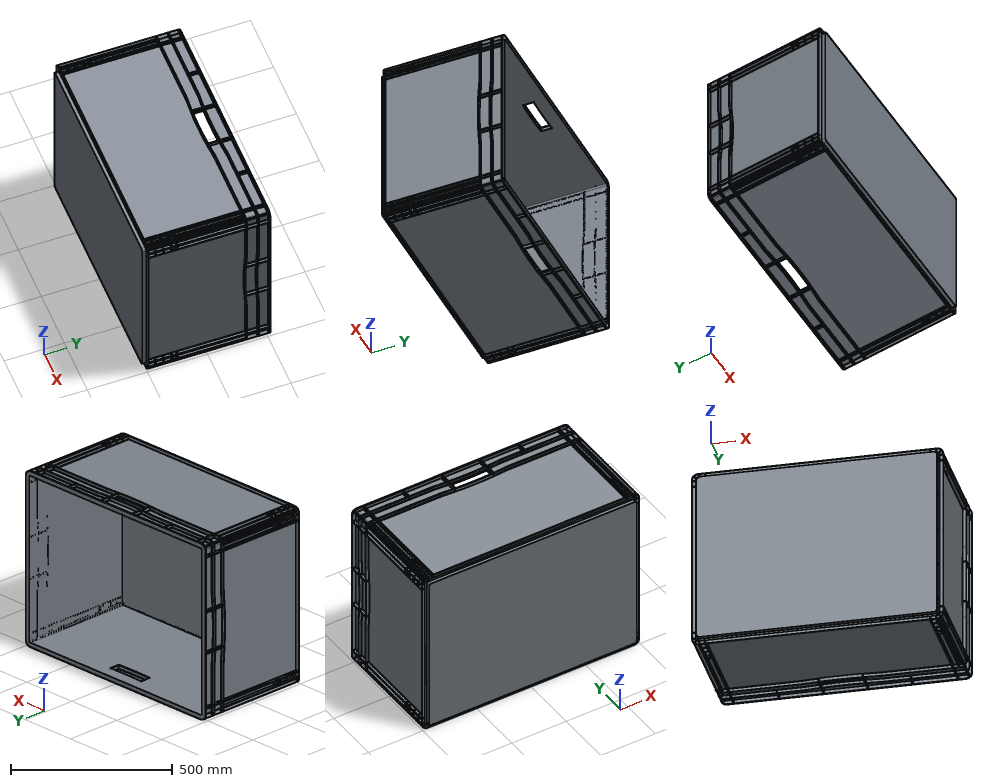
import cadquery as cq
import math

length = 800.0
height = 600.0
depth = 420.0
mouth_y = depth / 2

corner_radius = 21.0
rib_depth = 12.0
wall_thickness = 4.0
foot_height = 13.0
foot_inset = 18.0
foot_radius = 9.0
body_depth = depth - foot_height
floor_depth = body_depth - wall_thickness

rib_thickness = 3.0
rim_thickness = 5.0
hoop_depths = (39.0, 79.0)
bow_half_span = 124.0
bow_sag = 6.0
handle_rib_offset = 70.0
short_rib_offset = 213.0
corner_rib_offset = 42.0

tick_depths = (308.0, 328.0, 354.0, 381.0)
ring_depth = (tick_depths[0] + tick_depths[1]) / 2
ring_hole_radius = 6.8
ring_radius = ring_hole_radius + rib_thickness


def slab(inset, radius, top, bottom):
    """Rounded rectangle in XZ, inset from the outer size, between two depths."""
    return (
        cq.Workplane("XZ", origin=(0, mouth_y - top, 0))
        .rect(length - 2 * inset, height - 2 * inset)
        .extrude(bottom - top)
        .edges("|Y")
        .fillet(radius)
    )


def hoop(mid_depth):
    """Flat hoop around the crate, left open where the bowed stretches go."""
    half = rib_thickness / 2
    ring = slab(0, corner_radius, mid_depth - half, mid_depth + half)
    gap = 2 * bow_half_span
    for gap_x, gap_z in ((gap, height), (length, gap)):
        ring = ring.cut(cq.Workplane("XY").box(gap_x, depth, gap_z))
    return ring


def wall_block(u, top, bottom, width, outer):
    """Upright rib on the +Z wall, centred at u, between two depths."""
    return (
        cq.Workplane("XY", origin=(u, mouth_y - (top + bottom) / 2, outer - rib_depth))
        .rect(width, bottom - top)
        .extrude(rib_depth)
    )


def bow(mid_depth, outer):
    """Sagging stretch of a hoop on the +Z wall."""
    upper = mouth_y - mid_depth + rib_thickness / 2
    lower = upper - rib_thickness
    return (
        cq.Workplane("XY", origin=(0, 0, outer - rib_depth))
        .moveTo(-bow_half_span, upper)
        .threePointArc((0, upper - bow_sag), (bow_half_span, upper))
        .lineTo(bow_half_span, lower)
        .threePointArc((0, lower - bow_sag), (-bow_half_span, lower))
        .close()
        .extrude(rib_depth)
    )


def bow_drop(u):
    """Sag of a bowed hoop at distance u from the middle of the wall."""
    radius = (bow_half_span ** 2 + bow_sag ** 2) / (2 * bow_sag)
    return math.sqrt(radius ** 2 - u ** 2) - (radius - bow_sag)


def latch_ring(u, outer):
    """Hollow round boss between two ticks on the +Z wall."""
    return (
        cq.Workplane("XY", origin=(u, mouth_y - ring_depth, outer - rib_depth))
        .circle(ring_radius)
        .circle(ring_hole_radius)
        .extrude(rib_depth)
    )


def wall_ribs(wall_length, outer, has_short_ribs):
    """All ribs of one wall, built on the +Z side at height outer."""
    first_hoop, second_hoop = hoop_depths
    ribs = bow(first_hoop, outer).union(bow(second_hoop, outer))
    inner_rib = wall_length / 2 - corner_radius - rib_thickness / 2
    outer_rib = wall_length / 2 - corner_rib_offset
    strip_middle = (inner_rib + outer_rib) / 2
    strip_width = inner_rib - outer_rib
    handle_rib_end = second_hoop + bow_drop(handle_rib_offset)
    for side in (-1, 1):
        uprights = [
            (handle_rib_offset, 0, handle_rib_end),
            (outer_rib, 0, body_depth),
            (inner_rib, second_hoop, body_depth),
        ]
        if has_short_ribs:
            uprights.append((short_rib_offset, 0, first_hoop))
        for u, top, bottom in uprights:
            ribs = ribs.union(wall_block(side * u, top, bottom, rib_thickness, outer))
        for tick in tick_depths:
            top = tick - rib_thickness / 2
            bottom = tick + rib_thickness / 2
            ribs = ribs.union(wall_block(side * strip_middle, top, bottom, strip_width, outer))
        ribs = ribs.union(latch_ring(side * strip_middle, outer))
    return ribs


def corner_rib(side_x, side_z):
    """Diagonal rib running along one rounded corner, out to the rim arc."""
    reach = math.sqrt(corner_radius ** 2 - (rib_thickness / 2) ** 2)
    angle = math.degrees(math.atan2(side_z, side_x))
    arc_x = side_x * (length / 2 - corner_radius)
    arc_z = side_z * (height / 2 - corner_radius)
    return (
        cq.Workplane("XY")
        .box(reach, body_depth, rib_thickness, centered=(False, True, True))
        .rotate((0, 0, 0), (0, 1, 0), -angle)
        .translate((arc_x, mouth_y - body_depth / 2, arc_z))
    )


crate = slab(rib_depth, corner_radius - rib_depth, 0, body_depth)
crate = crate.union(slab(0, corner_radius, 0, rim_thickness))
crate = crate.union(slab(0, corner_radius, body_depth - rib_thickness, body_depth))
crate = crate.union(slab(foot_inset, foot_radius, body_depth, depth))
for hoop_depth in hoop_depths:
    crate = crate.union(hoop(hoop_depth))

long_ribs = wall_ribs(length, height / 2, True)
short_ribs = wall_ribs(height, length / 2, False)
for ribs, angle in ((long_ribs, 0), (short_ribs, 90), (long_ribs, 180), (short_ribs, 270)):
    crate = crate.union(ribs.rotate((0, 0, 0), (0, 1, 0), angle))
for side_x in (-1, 1):
    for side_z in (-1, 1):
        crate = crate.union(corner_rib(side_x, side_z))

cavity_inset = rib_depth + wall_thickness
crate = crate.cut(slab(cavity_inset, corner_radius - cavity_inset, 0, floor_depth))

hole_half_width = handle_rib_offset - rib_thickness / 2
hole_top = mouth_y - hoop_depths[0] - rib_thickness / 2
hole_bottom = mouth_y - hoop_depths[1] + rib_thickness / 2
hole_drop = bow_drop(hole_half_width)
hand_hole = (
    cq.Workplane("XY")
    .moveTo(-hole_half_width, hole_top - hole_drop)
    .threePointArc((0, hole_top - bow_sag), (hole_half_width, hole_top - hole_drop))
    .lineTo(hole_half_width, hole_bottom - hole_drop)
    .threePointArc((0, hole_bottom - bow_sag), (-hole_half_width, hole_bottom - hole_drop))
    .close()
    .extrude(height / 2, both=True)
)
result = crate.cut(hand_hole)